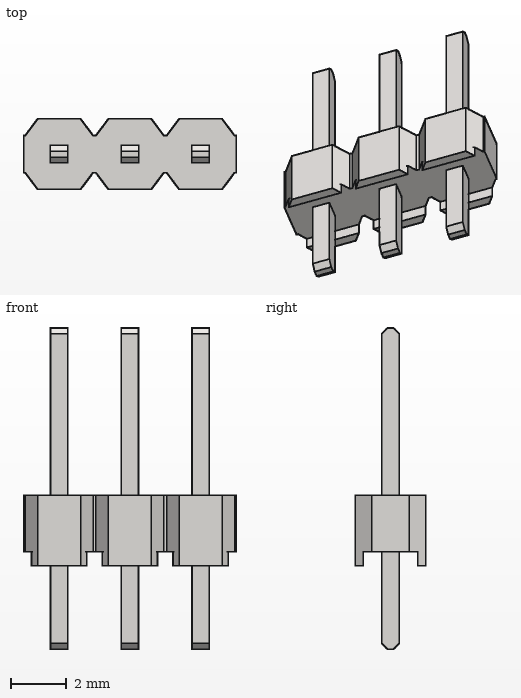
import cadquery as cq


pin_count = 3
pitch = 2.54
row_length = 7.63

body_depth = 2.54
cell_flat_length = 1.54
neck_depth = 1.34
neck_length = 0.10
block_height = 2.04
foot_height = 0.5
channel_width = 1.94

pin_width = 0.635
pin_chamfer = pin_width / 3
pin_length = 11.54
pin_height_above_body = 6.0

body_height = block_height + foot_height
pin_top = block_height + pin_height_above_body
pin_centers = [(i + 0.5) * pitch - row_length / 2 for i in range(pin_count)]


def make_core():
    """Straight bar joining the cells; it reaches both ends of the row."""
    return (
        cq.Workplane("XY")
        .workplane(offset=-foot_height)
        .rect(row_length, neck_depth)
        .extrude(body_height)
    )


def make_cell(center_x):
    """Eight-sided cell around one pin."""
    half_flat = cell_flat_length / 2
    half_length = (pitch - neck_length) / 2
    half_depth = body_depth / 2
    half_neck = neck_depth / 2
    return (
        cq.Workplane("XY", origin=(center_x, 0, -foot_height))
        .moveTo(-half_flat, -half_depth)
        .lineTo(half_flat, -half_depth)
        .lineTo(half_length, -half_neck)
        .lineTo(half_length, half_neck)
        .lineTo(half_flat, half_depth)
        .lineTo(-half_flat, half_depth)
        .lineTo(-half_length, half_neck)
        .lineTo(-half_length, -half_neck)
        .close()
        .extrude(body_height)
    )


def make_channel():
    """Space under the body, open at both ends, that leaves a foot on each side of every pin."""
    return (
        cq.Workplane("XY")
        .workplane(offset=-foot_height)
        .rect(row_length, channel_width)
        .extrude(foot_height)
    )


def make_pin(center_x):
    """Square pin, chamfered on its -Y and +Y sides at both tips."""
    return (
        cq.Workplane("XY", origin=(center_x, 0, pin_top - pin_length))
        .rect(pin_width, pin_width)
        .extrude(pin_length)
        .faces("<Z or >Z")
        .edges("|X")
        .chamfer(pin_chamfer)
    )


body = make_core()
for x in pin_centers:
    body = body.union(make_cell(x))
body = body.cut(make_channel())

result = body
for x in pin_centers:
    result = result.union(make_pin(x))